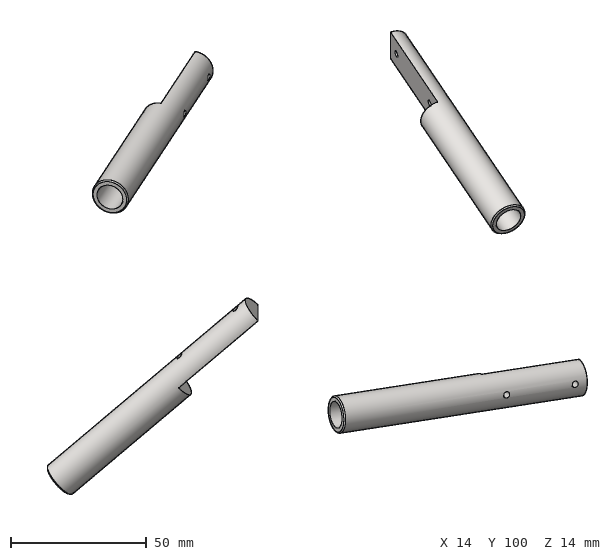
import cadquery as cq
import math

rod_diameter = 14.0
rod_length = 100.0
edge_chamfer = 0.5

tongue_length = 40.0
tongue_start = rod_length - tongue_length

bore_diameter = 10.0
bore_depth = 40.0
drill_point_angle = 118.0

cross_hole_diameter = 2.46
end_hole_margin = 5.0
hole_spacing = 28.2
cross_hole_positions = [rod_length - end_hole_margin - hole_spacing, rod_length - end_hole_margin]


def rod_blank():
    """Solid rod along +Y with a chamfered front edge."""
    rod = cq.Workplane("XZ").circle(rod_diameter / 2).extrude(-rod_length)
    return rod.faces("<Y").chamfer(edge_chamfer)


def drilled_bore():
    """Cutter for the blind bore: a cylinder ending in a cone."""
    radius = bore_diameter / 2
    point_length = radius / math.tan(math.radians(drill_point_angle / 2))
    half_profile = (
        cq.Workplane("XY")
        .lineTo(radius, 0)
        .lineTo(radius, bore_depth)
        .lineTo(0, bore_depth + point_length)
        .close()
    )
    return half_profile.revolve(360, (0, 0, 0), (0, 1, 0))


def tongue_relief():
    """Block that removes the -X half of the rod beside the tongue."""
    return cq.Workplane("XY").box(
        rod_diameter, tongue_length, 2 * rod_diameter, centered=(False, False, True)
    ).translate((-rod_diameter, tongue_start, 0))


def cross_hole(position):
    """Cutter for one hole along X, at the given distance along the rod."""
    return (
        cq.Workplane("YZ")
        .center(position, 0)
        .circle(cross_hole_diameter / 2)
        .extrude(rod_diameter, both=True)
    )


handle = rod_blank().cut(drilled_bore()).cut(tongue_relief())
for hole_position in cross_hole_positions:
    handle = handle.cut(cross_hole(hole_position))

result = cq.Compound.makeCompound([handle.val()])